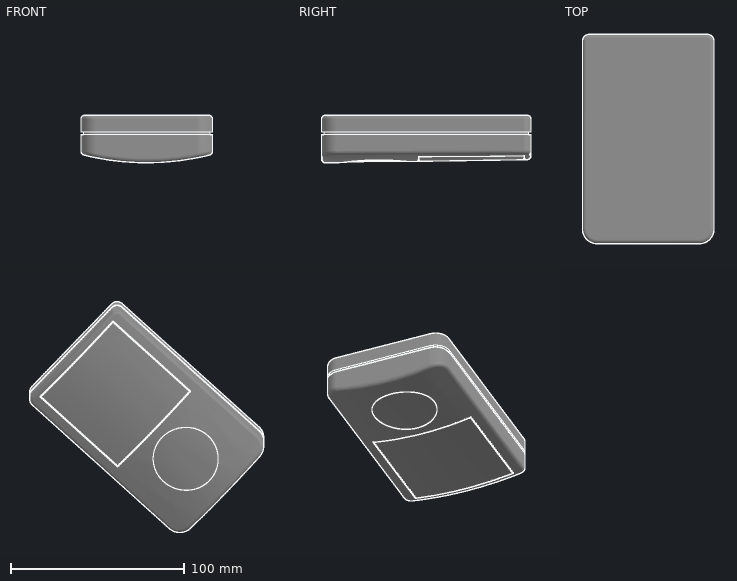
import cadquery as cq

WIDTH = 76.2
LENGTH = 121.1
HEIGHT = 27.6
FRONT_CORNER = 8.7
REAR_CORNER = 4.1
EDGE_FILLET = 2.3

FRONT_EDGE_DEPTH = 22.6
REAR_CROWN_DEPTH = 25.8
REAR_EDGE_DEPTH = 22.4
FRONT_CROWN_DEPTH = HEIGHT + (HEIGHT - REAR_CROWN_DEPTH) * EDGE_FILLET / LENGTH

GAP_TOP = 9.8
GAP_HEIGHT = 1.5
GAP_DEPTH = 1.5

ENGRAVE_TOOL_HEIGHT = HEIGHT - GAP_TOP

LID_HALF_WIDTH = 30.9
LID_FRONT = -4.5
LID_REAR = 56.8
SEAM_WIDTH = 0.4
SEAM_DEPTH = 1.0

RECESS_RADIUS = 18.8
RECESS_Y = -29.4
RECESS_DEPTH = 0.2


def footprint(top_z, height, inset=0.0):
    """Block with the rounded plan outline, hanging below top_z."""
    block = (
        cq.Workplane("XY", origin=(0, 0, top_z))
        .rect(WIDTH - 2 * inset, LENGTH - 2 * inset)
        .extrude(-height)
    )
    block = block.edges("|Z and <Y").fillet(FRONT_CORNER - inset)
    return block.edges("|Z and >Y").fillet(REAR_CORNER - inset)


def crowned_block(raised=0.0):
    """Block above the crowned underside, which is lifted by raised."""
    half = WIDTH / 2

    def section(plane, edge_depth, crown_depth):
        return (
            plane.moveTo(-half, 0)
            .lineTo(-half, raised - edge_depth)
            .threePointArc((0, raised - crown_depth), (half, raised - edge_depth))
            .lineTo(half, 0)
            .close()
        )

    front_plane = cq.Workplane("XZ", origin=(0, -LENGTH / 2, 0))
    front = section(front_plane, FRONT_EDGE_DEPTH, FRONT_CROWN_DEPTH)
    rear_plane = front.workplane(offset=-LENGTH)
    return section(rear_plane, REAR_EDGE_DEPTH, REAR_CROWN_DEPTH).loft(ruled=True)


def engrave(body, outline, depth):
    """Sink an upright outline into the underside to an even depth."""
    return body.cut(outline.cut(crowned_block(depth)))


def shell():
    body = footprint(0, FRONT_CROWN_DEPTH).intersect(crowned_block())
    body = body.faces(">Z").edges().fillet(EDGE_FILLET)
    underside = body.faces(cq.selectors.NearestToPointSelector((0, 0, -HEIGHT)))
    return underside.edges().fillet(EDGE_FILLET)


def shadow_gap():
    ring = footprint(-GAP_TOP, GAP_HEIGHT)
    return ring.cut(footprint(-GAP_TOP, GAP_HEIGHT, GAP_DEPTH))


def lid_seam():
    lid_width = 2 * LID_HALF_WIDTH
    lid_length = LID_REAR - LID_FRONT
    plane = cq.Workplane("XY", origin=(0, (LID_FRONT + LID_REAR) / 2, -FRONT_CROWN_DEPTH))
    outer = plane.rect(lid_width, lid_length).extrude(ENGRAVE_TOOL_HEIGHT)
    inner = plane.rect(lid_width - 2 * SEAM_WIDTH, lid_length - 2 * SEAM_WIDTH)
    return outer.cut(inner.extrude(ENGRAVE_TOOL_HEIGHT))


def finger_recess():
    plane = cq.Workplane("XY", origin=(0, RECESS_Y, -FRONT_CROWN_DEPTH))
    return plane.circle(RECESS_RADIUS).extrude(ENGRAVE_TOOL_HEIGHT)


result = shell().cut(shadow_gap())
result = engrave(result, lid_seam(), SEAM_DEPTH)
result = engrave(result, finger_recess(), RECESS_DEPTH)